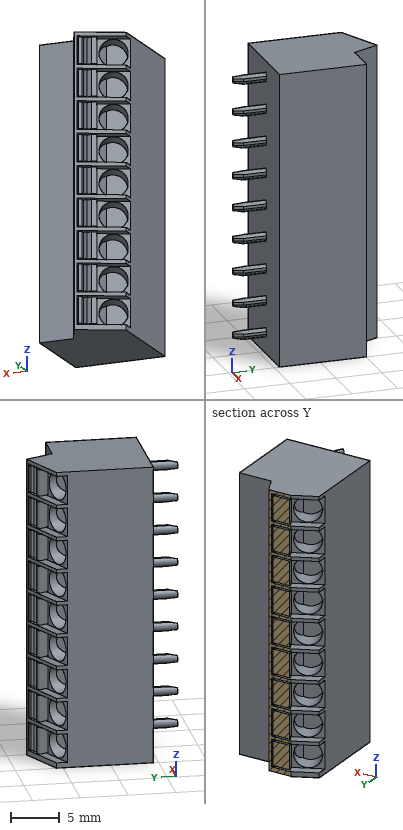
import cadquery as cq
import math


pole_count = 9
pole_pitch = 3.5
housing_width = 10.0
housing_height = 32.1
peak_y = 12.4
slope_start_y = 10.14
back_y = 9.5
slope_angle = 25.0

slope_sin = math.sin(math.radians(slope_angle))
slope_cos = math.cos(math.radians(slope_angle))
slope_tan = slope_sin / slope_cos
peak_x = (peak_y - slope_start_y) / slope_tan
back_x = peak_x + (peak_y - back_y) * slope_tan
slope_length = (peak_y - slope_start_y) / slope_sin

recess_height = 3.1
recess_depth = 1.03
recess_rim = 0.3
recess_end = slope_length - recess_rim
first_recess_z = 2.13
recess_start = -recess_depth * slope_tan
recess_overrun = 1.0

button_gap = 0.12
button_height = recess_height - 2 * button_gap
button_start = 3.0
button_end = recess_end - button_gap
button_edge_radius = 0.22
first_groove = 3.57
groove_width = 0.49
groove_depth = 0.35
groove_leans = (8.0, 28.0)

entry_diameter = 3.0
entry_radius = entry_diameter / 2
entry_center = (recess_start + button_start) / 2
entry_straight_depth = 0.9
entry_total_depth = 2.0
entry_ramp_angle = 37.0

first_pin_z = 2.35
pin_length = 3.5
pin_tip_length = 1.0
pin_tip_shift = 0.36
pin_tip_clearance = 0.5
pin_embed = 0.5
pin_left_x = 5.24
pin_thickness = 0.66
pin_bow = 0.34
pin_bow_half_height = 0.44
pin_shoulder_x = 0.43
pin_half_height = 0.52
pin_flat_half_height = 0.15


def slope_plane(z):
    """Local x runs up the slope, local y points out of the sloped face."""
    return cq.Plane(
        origin=(0, slope_start_y, z),
        xDir=(slope_cos, slope_sin, 0),
        normal=(0, 0, 1),
    )


def make_housing():
    outline = [
        (0, 0),
        (housing_width, 0),
        (housing_width, back_y),
        (back_x, back_y),
        (peak_x, peak_y),
        (0, slope_start_y),
    ]
    return cq.Workplane("XY").polyline(outline).close().extrude(housing_height)


def make_recess(z):
    return (
        cq.Workplane(slope_plane(z))
        .moveTo(recess_start - recess_overrun, -recess_depth)
        .lineTo(recess_end, -recess_depth)
        .lineTo(recess_end, recess_overrun)
        .lineTo(recess_start - recess_overrun, recess_overrun)
        .close()
        .extrude(recess_height / 2, both=True)
    )


def make_button(z):
    radius = button_edge_radius
    arc_inset = radius * (1 - math.sqrt(0.5))
    button = (
        cq.Workplane(slope_plane(z))
        .moveTo(button_start, -recess_depth)
        .lineTo(button_start, -radius)
        .threePointArc((button_start + arc_inset, -arc_inset), (button_start + radius, 0))
        .lineTo(button_end, 0)
        .lineTo(button_end, -recess_depth)
        .close()
        .extrude(button_height / 2, both=True)
    )
    for index, lean in enumerate(groove_leans):
        near_edge = first_groove + index * groove_width
        far_edge = near_edge + groove_width
        root = far_edge - groove_depth * math.tan(math.radians(lean))
        groove = (
            cq.Workplane(slope_plane(z))
            .polyline([(near_edge, 0), (root, -groove_depth), (far_edge, 0)])
            .close()
            .extrude(button_height / 2, both=True)
        )
        button = button.cut(groove)
    return button


def make_wire_entry(z):
    """Round hole whose uphill side turns into a flat ramp leading inwards."""
    ramp_depth = entry_total_depth - entry_straight_depth
    ramp_shift = ramp_depth * math.tan(math.radians(entry_ramp_angle))
    left = entry_center - entry_radius
    right = entry_center + entry_radius
    floor = -recess_depth
    bottom = floor - entry_total_depth
    side_profile = [
        (left, floor),
        (right, floor),
        (right, floor - entry_straight_depth),
        (right - ramp_shift, bottom),
        (left, bottom),
    ]
    envelope = (
        cq.Workplane(slope_plane(z)).polyline(side_profile).close().extrude(entry_radius, both=True)
    )
    floor_center = slope_plane(z).toWorldCoords((entry_center, floor, 0))
    entry_plane = cq.Plane(
        origin=floor_center,
        xDir=(0, 0, 1),
        normal=(slope_sin, -slope_cos, 0),
    )
    bore = cq.Workplane(entry_plane).circle(entry_radius).extrude(entry_total_depth)
    return bore.intersect(envelope)


def make_pin(z):
    """Bowed -X side, two slanted flanks and a narrow +X flat, with tapered flanks at the tip."""
    bar = (
        cq.Workplane("XZ", origin=(pin_left_x, pin_embed, z))
        .moveTo(pin_bow, pin_bow_half_height)
        .threePointArc((0, 0), (pin_bow, -pin_bow_half_height))
        .lineTo(pin_shoulder_x, -pin_half_height)
        .lineTo(pin_thickness, -pin_flat_half_height)
        .lineTo(pin_thickness, pin_flat_half_height)
        .lineTo(pin_shoulder_x, pin_half_height)
        .close()
        .extrude(pin_embed + pin_length)
    )
    flank_slope = (pin_half_height - pin_flat_half_height) / (pin_thickness - pin_shoulder_x)
    far_left_x = -pin_tip_clearance
    far_left_z = pin_half_height + flank_slope * (pin_shoulder_x - far_left_x)
    flanks = [
        (far_left_x, far_left_z),
        (far_left_x, -far_left_z),
        (pin_thickness, -pin_flat_half_height),
        (pin_thickness, pin_flat_half_height),
    ]
    shifted_flanks = [(x - pin_tip_shift, height) for x, height in flanks]
    shank_length = pin_length - pin_tip_length
    tip_envelope = (
        cq.Workplane("XZ", origin=(pin_left_x, -shank_length, z))
        .polyline(flanks)
        .close()
        .workplane(offset=pin_tip_length)
        .polyline(shifted_flanks)
        .close()
        .loft(ruled=True)
    )
    tip_block = (
        cq.Workplane("XZ", origin=(pin_left_x, -shank_length, z))
        .rect(2 * far_left_z, 2 * far_left_z)
        .extrude(pin_tip_length)
    )
    return bar.cut(tip_block.cut(tip_envelope))


result = make_housing()
for pole in range(pole_count):
    recess_z = first_recess_z + pole * pole_pitch
    pin_z = first_pin_z + pole * pole_pitch
    result = result.cut(make_recess(recess_z))
    result = result.union(make_button(recess_z))
    result = result.cut(make_wire_entry(recess_z))
    result = result.union(make_pin(pin_z))